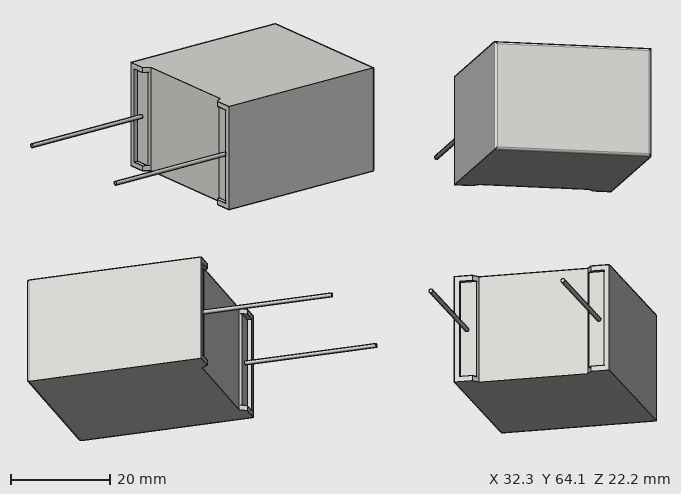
import cadquery as cq


total_length = 64.1
width = 32.3
height = 22.2
lead_length = 27.0
case_length = total_length - lead_length
wall = 1.1
back_fillet = 0.5

foot_width = 3.8
recess_depth = 1.4
slope_width = 1.0

floor_depth = 0.9

lead_diameter = 0.85
lead_spacing = 27.5

half_width = width / 2
inner_half_width = half_width - wall
inner_height = height - 2 * wall
foot_inner_x = half_width - foot_width
recess_half_width = foot_inner_x - slope_width
window_inner_x = foot_inner_x - slope_width * floor_depth / recess_depth
cavity_front = recess_depth + wall
cavity_back = case_length - wall


def block(x_start, x_end, y_start, y_end, z_size):
    """Box between the given X and Y limits, centred on Z = 0."""
    return cq.Workplane("XY").box(
        x_end - x_start, y_end - y_start, z_size, centered=(False, False, True)
    ).translate((x_start, y_start, 0))


def make_recess():
    """Full-height trapezoidal cut that leaves a sloped foot on each side."""
    return (
        cq.Workplane("XY")
        .polyline([
            (-foot_inner_x, 0),
            (foot_inner_x, 0),
            (recess_half_width, recess_depth),
            (-recess_half_width, recess_depth),
        ])
        .close()
        .extrude(height / 2, both=True)
    )


def make_windows(front):
    """Pair of mirrored blocks from Y = front back to the cavity."""
    window = block(window_inner_x, inner_half_width, front, cavity_front, inner_height)
    return window.union(window.mirror("YZ"))


def make_cavity():
    """Space inside the case, enclosed by walls of even thickness."""
    return block(-inner_half_width, inner_half_width, cavity_front, cavity_back, inner_height)


def make_case():
    outer = block(-half_width, half_width, 0, case_length, height)
    outer = outer.faces(">Y").edges().fillet(back_fillet)
    return outer.cut(make_recess()).cut(make_cavity()).cut(make_windows(0))


def make_core():
    """Block that fills the cavity, with a pad in each window up to the floor depth."""
    return make_cavity().union(make_windows(floor_depth))


def make_lead(x):
    """Round wire that stands on the face of a core pad."""
    return (
        cq.Workplane("XZ", origin=(x, floor_depth, 0))
        .circle(lead_diameter / 2)
        .extrude(lead_length + floor_depth)
    )


case = make_case()
core = make_core()
leads = [make_lead(side * lead_spacing / 2) for side in (-1, 1)]

result = cq.Compound.makeCompound([case.val(), core.val(), *[lead.val() for lead in leads]])